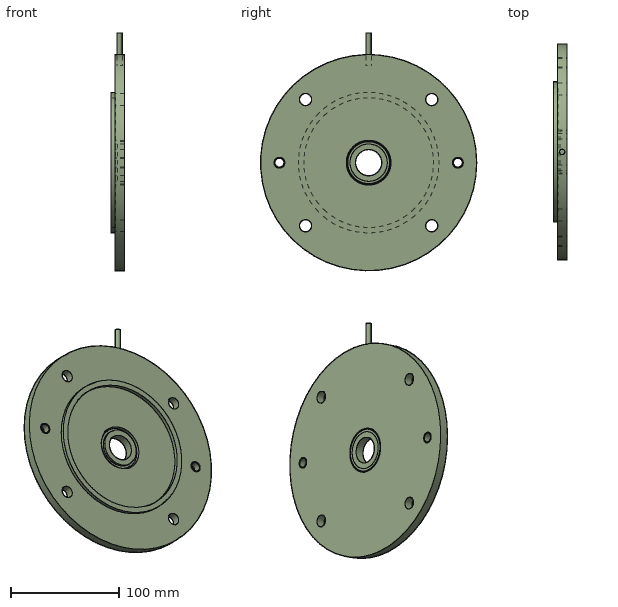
import cadquery as cq


FLANGE_DIAMETER = 200.0
FLANGE_THICKNESS = 9.0
LIP_DIAMETER = 130.0
LIP_HEIGHT = 3.5
RECESS_DIAMETER = 120.0
RECESS_DEPTH = 4.0
CENTRE_HOLE_DIAMETER = 41.0
FLANGE_BACK = FLANGE_THICKNESS
LIP_FRONT = -LIP_HEIGHT
RECESS_FLOOR = LIP_FRONT + RECESS_DEPTH

PITCH_DIAMETER = 165.0
BOLT_HOLE_DIAMETER = 11.0
BOLT_HOLE_COUNT = 4
FIRST_BOLT_HOLE_ANGLE = 45.0
SLEEVE_DIAMETER = 10.0
SLEEVE_BORE = 8.16
SLEEVE_COUNT = 2
FIRST_SLEEVE_ANGLE = 0.0

HUB_DIAMETER = 34.5
HUB_BORE = 24.0
HUB_FRONT = 0.0
RING_DIAMETER = 39.1
RING_SETBACK = 2.5
RING_FRONT = HUB_FRONT + RING_SETBACK

CABLE_DIAMETER = 5.0
CABLE_EXPOSED_LENGTH = 20.0
CABLE_HOLE_DEPTH = 10.0
CABLE_X = FLANGE_THICKNESS / 2
CABLE_LENGTH = CABLE_HOLE_DEPTH + CABLE_EXPOSED_LENGTH
CABLE_BOTTOM = FLANGE_DIAMETER / 2 - CABLE_HOLE_DEPTH


def disc(diameter, front, back):
    """Solid cylinder on the main axis between two X positions."""
    return cq.Workplane("YZ", origin=(front, 0, 0)).circle(diameter / 2).extrude(back - front)


def tube(outer_diameter, inner_diameter, front, back):
    """Hollow cylinder on the main axis between two X positions."""
    return disc(outer_diameter, front, back).cut(disc(inner_diameter, front, back))


def pitch_circle_points(first_angle, count):
    """Workplane on the flange front face with evenly spaced points on the pitch circle."""
    return cq.Workplane("YZ").polarArray(PITCH_DIAMETER / 2, first_angle, 360, count)


def through_holes(diameter, first_angle, count):
    """Cutters through the flange thickness on the pitch circle."""
    return pitch_circle_points(first_angle, count).circle(diameter / 2).extrude(FLANGE_THICKNESS)


def make_cable():
    return (
        cq.Workplane("XY", origin=(CABLE_X, 0, CABLE_BOTTOM))
        .circle(CABLE_DIAMETER / 2)
        .extrude(CABLE_LENGTH)
    )


def make_flange():
    flange = disc(FLANGE_DIAMETER, 0, FLANGE_BACK)
    flange = flange.union(disc(LIP_DIAMETER, LIP_FRONT, 0))
    flange = flange.cut(disc(RECESS_DIAMETER, LIP_FRONT, RECESS_FLOOR))
    flange = flange.cut(disc(CENTRE_HOLE_DIAMETER, RECESS_FLOOR, FLANGE_BACK))
    flange = flange.cut(through_holes(BOLT_HOLE_DIAMETER, FIRST_BOLT_HOLE_ANGLE, BOLT_HOLE_COUNT))
    flange = flange.cut(through_holes(SLEEVE_DIAMETER, FIRST_SLEEVE_ANGLE, SLEEVE_COUNT))
    return flange.cut(make_cable())


def make_sleeves():
    return (
        pitch_circle_points(FIRST_SLEEVE_ANGLE, SLEEVE_COUNT)
        .circle(SLEEVE_DIAMETER / 2)
        .extrude(FLANGE_THICKNESS)
        .cut(through_holes(SLEEVE_BORE, FIRST_SLEEVE_ANGLE, SLEEVE_COUNT))
    )


def make_hub():
    return tube(HUB_DIAMETER, HUB_BORE, HUB_FRONT, FLANGE_BACK)


def make_ring():
    return tube(RING_DIAMETER, HUB_DIAMETER, RING_FRONT, FLANGE_BACK)


flange = make_flange()
sleeves = make_sleeves()
hub = make_hub()
ring = make_ring()
cable = make_cable()

result = cq.Compound.makeCompound([
    flange.solids().val(),
    *sleeves.solids().vals(),
    hub.solids().val(),
    ring.solids().val(),
    cable.solids().val(),
])